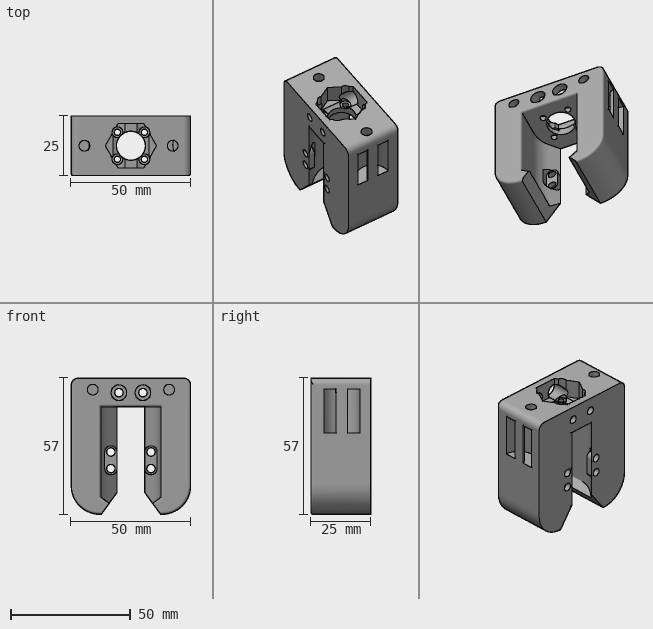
import cadquery as cq
import math

WIDTH = 50.0
DEPTH = 25.0
HEIGHT = 57.0
HALF_WIDTH = WIDTH / 2
HALF_DEPTH = DEPTH / 2
TOP_CORNER_RADIUS = 3.0
FOOT_RADIUS = 12.0
FRONT_FILLET = 1.0

SLOT_HALF_WIDTH = 5.75
CAVITY_RADIUS = 12.55
CAVITY_CEILING = 44.9
CAVITY_CORNER_RADIUS = 0.05
SELECT_MARGIN = 0.05
LIP_TIP_X = 12.4
LIP_BEVEL_HEIGHT = 9.2
LIP_FLOOR_HEIGHT = 7.2

SCREW_HOLE_DIAMETER = 3.4
LEG_SCREW_X = 8.4
LEG_SCREW_HEIGHTS = (19.15, 26.1)
LEG_SEAT_WIDTH = 5.15
LEG_SEAT_Y = 9.5
TOP_SCREW_X = 5.0
TOP_SCREW_HEIGHT = 50.9
TOP_SCREW_BORE_DIAMETER = 6.5
TOP_SCREW_SHOULDER_Y = 10.05

HEX_ACROSS_CORNERS = 21.45
HEX_FLOOR = 48.85
CENTRE_HOLE_DIAMETER = 12.0
FLANGE_SCREW_OFFSET = 5.65
FLANGE_SCREW_DIAMETER = 2.5
FLANGE_BORE_DIAMETER = 4.5
FLANGE_BORE_FLOOR = 47.6

SOCKET_DIAMETER = 4.5
SOCKET_DEPTH = 6.0
FRONT_SOCKET_X = 15.95
FRONT_SOCKET_HEIGHT = 52.15
TOP_SOCKET_LEFT_X = -19.45
TOP_SOCKET_RIGHT_X = 17.45

TUNNEL_OUTER_RADIUS = 7.5
TUNNEL_INNER_RADIUS = 2.45
TUNNEL_CENTRE_Y = 0.4
TUNNEL_BOTTOM = 34.0
TUNNEL_TOP = 52.45


def cylinder_z(x, y, diameter, bottom, top):
    """Upright cylinder between two heights."""
    return cq.Workplane("XY", origin=(x, y, bottom)).circle(diameter / 2).extrude(top - bottom)


def cylinder_y(x, z, diameter, front, back):
    """Cylinder running front to back."""
    return cq.Workplane("XZ", origin=(x, front, z)).circle(diameter / 2).extrude(front - back)


def make_body():
    """Block with rounded feet, softened front edges and rounded top corners."""
    foot_x = HALF_WIDTH - FOOT_RADIUS
    foot_mid = FOOT_RADIUS * math.sqrt(0.5)
    body = (
        cq.Workplane("XZ", origin=(0, HALF_DEPTH, 0))
        .moveTo(-HALF_WIDTH, HEIGHT)
        .lineTo(-HALF_WIDTH, FOOT_RADIUS)
        .threePointArc((-foot_x - foot_mid, FOOT_RADIUS - foot_mid), (-foot_x, 0))
        .lineTo(foot_x, 0)
        .threePointArc((foot_x + foot_mid, FOOT_RADIUS - foot_mid), (HALF_WIDTH, FOOT_RADIUS))
        .lineTo(HALF_WIDTH, HEIGHT)
        .close()
        .extrude(DEPTH)
    )
    body = body.faces("<Y").edges("not >Z").fillet(FRONT_FILLET)
    rounded = (
        cq.Workplane("XY")
        .box(WIDTH, DEPTH, HEIGHT, centered=(True, True, False))
        .edges("|Y and >Z")
        .fillet(TOP_CORNER_RADIUS)
    )
    return body.intersect(rounded)


def make_cavity():
    """Room behind the front opening, with a sloped lip floor square to the lip bevel."""
    reach = math.hypot(SLOT_HALF_WIDTH, HALF_DEPTH)
    tangent = math.atan2(HALF_DEPTH, SLOT_HALF_WIDTH) - math.acos(CAVITY_RADIUS / reach)
    tangent_x = CAVITY_RADIUS * math.cos(tangent)
    tangent_y = CAVITY_RADIUS * math.sin(tangent)
    mid_x = CAVITY_RADIUS * math.cos(tangent / 2)
    mid_y = CAVITY_RADIUS * math.sin(tangent / 2)
    plan = (
        cq.Workplane("XY")
        .moveTo(-CAVITY_RADIUS, -HALF_DEPTH)
        .lineTo(-CAVITY_RADIUS, 0)
        .threePointArc((-mid_x, mid_y), (-tangent_x, tangent_y))
        .lineTo(-SLOT_HALF_WIDTH, HALF_DEPTH)
        .lineTo(SLOT_HALF_WIDTH, HALF_DEPTH)
        .lineTo(tangent_x, tangent_y)
        .threePointArc((mid_x, mid_y), (CAVITY_RADIUS, 0))
        .lineTo(CAVITY_RADIUS, -HALF_DEPTH)
        .close()
        .extrude(CAVITY_CEILING)
    )
    floor_slope = (LIP_TIP_X - SLOT_HALF_WIDTH) / LIP_BEVEL_HEIGHT
    floor_apex = LIP_FLOOR_HEIGHT - floor_slope * CAVITY_RADIUS
    elevation = (
        cq.Workplane("XZ", origin=(0, HALF_DEPTH, 0))
        .polyline([
            (-CAVITY_RADIUS, CAVITY_CEILING),
            (-CAVITY_RADIUS, LIP_FLOOR_HEIGHT),
            (0, floor_apex),
            (CAVITY_RADIUS, LIP_FLOOR_HEIGHT),
            (CAVITY_RADIUS, CAVITY_CEILING),
        ])
        .close()
        .extrude(DEPTH)
        .edges("|Y and (not <Z)")
        .fillet(CAVITY_CORNER_RADIUS)
    )
    return plan.intersect(elevation)


def make_slot():
    """Opening from front to back, flaring out between the lip tips."""
    return (
        cq.Workplane("XZ", origin=(0, HALF_DEPTH, 0))
        .polyline([
            (-LIP_TIP_X, 0),
            (-SLOT_HALF_WIDTH, LIP_BEVEL_HEIGHT),
            (-SLOT_HALF_WIDTH, CAVITY_CEILING),
            (SLOT_HALF_WIDTH, CAVITY_CEILING),
            (SLOT_HALF_WIDTH, LIP_BEVEL_HEIGHT),
            (LIP_TIP_X, 0),
        ])
        .close()
        .extrude(DEPTH)
    )


def round_cavity_rim(body):
    """Soften the front rim of the cavity: sides, ceiling and lip floors, but not the lip bevels."""
    rim = cq.selectors.BoxSelector(
        (-CAVITY_RADIUS - SELECT_MARGIN, -HALF_DEPTH - SELECT_MARGIN, LIP_BEVEL_HEIGHT / 2),
        (CAVITY_RADIUS + SELECT_MARGIN, -HALF_DEPTH + SELECT_MARGIN, CAVITY_CEILING + SELECT_MARGIN),
    )
    return body.edges(rim).fillet(FRONT_FILLET)


def leg_seat(x, front, back):
    """Round-ended block around one pair of leg screws."""
    low, high = LEG_SCREW_HEIGHTS
    return (
        cq.Workplane("XZ", origin=(x, front, (low + high) / 2))
        .slot2D(high - low + LEG_SEAT_WIDTH, LEG_SEAT_WIDTH, 90)
        .extrude(front - back)
    )


def cut_leg_screws(body):
    """Pair of screw holes in each leg, on a flat seat partly sunk into the wall and partly raised."""
    for x in (-LEG_SCREW_X, LEG_SCREW_X):
        body = body.cut(leg_seat(x, 0, LEG_SEAT_Y))
        body = body.union(leg_seat(x, LEG_SEAT_Y, HALF_DEPTH))
        for z in LEG_SCREW_HEIGHTS:
            body = body.cut(cylinder_y(x, z, SCREW_HOLE_DIAMETER, 0, HALF_DEPTH))
    return body


def cut_top_screws(body):
    """Counterbored screw holes running front to back under the top face."""
    for x in (-TOP_SCREW_X, TOP_SCREW_X):
        bore = cylinder_y(x, TOP_SCREW_HEIGHT, TOP_SCREW_BORE_DIAMETER, -HALF_DEPTH, TOP_SCREW_SHOULDER_Y)
        body = body.cut(bore)
        body = body.cut(cylinder_y(x, TOP_SCREW_HEIGHT, SCREW_HOLE_DIAMETER, -HALF_DEPTH, HALF_DEPTH))
    return body


def cut_hex_pocket(body):
    """Hexagonal pocket with a central bore and four counterbored flange screws."""
    pocket = (
        cq.Workplane("XY", origin=(0, 0, HEX_FLOOR))
        .polygon(6, HEX_ACROSS_CORNERS)
        .extrude(HEIGHT - HEX_FLOOR)
    )
    body = body.cut(pocket)
    body = body.cut(cylinder_z(0, 0, CENTRE_HOLE_DIAMETER, CAVITY_CEILING, HEIGHT))
    for x in (-FLANGE_SCREW_OFFSET, FLANGE_SCREW_OFFSET):
        for y in (-FLANGE_SCREW_OFFSET, FLANGE_SCREW_OFFSET):
            body = body.cut(cylinder_z(x, y, FLANGE_BORE_DIAMETER, FLANGE_BORE_FLOOR, HEIGHT))
            body = body.cut(cylinder_z(x, y, FLANGE_SCREW_DIAMETER, CAVITY_CEILING, HEIGHT))
    return body


def cut_sockets(body):
    """Blind round sockets in the front and top faces."""
    for x in (-FRONT_SOCKET_X, FRONT_SOCKET_X):
        socket = cylinder_y(x, FRONT_SOCKET_HEIGHT, SOCKET_DIAMETER, -HALF_DEPTH, SOCKET_DEPTH - HALF_DEPTH)
        body = body.cut(socket)
    for x in (TOP_SOCKET_LEFT_X, TOP_SOCKET_RIGHT_X):
        body = body.cut(cylinder_z(x, 0, SOCKET_DIAMETER, HEIGHT - SOCKET_DEPTH, HEIGHT))
    return body


def cut_strap_tunnels(body):
    """Half-ring tunnels that enter and leave through the same side face."""
    for x in (-HALF_WIDTH, HALF_WIDTH):
        tunnel = (
            cq.Workplane("XY", origin=(x, TUNNEL_CENTRE_Y, TUNNEL_BOTTOM))
            .circle(TUNNEL_OUTER_RADIUS)
            .circle(TUNNEL_INNER_RADIUS)
            .extrude(TUNNEL_TOP - TUNNEL_BOTTOM)
        )
        body = body.cut(tunnel)
    return body


body = make_body().cut(make_cavity()).cut(make_slot())
body = round_cavity_rim(body)
body = cut_leg_screws(body)
body = cut_top_screws(body)
body = cut_hex_pocket(body)
body = cut_sockets(body)
result = cut_strap_tunnels(body)